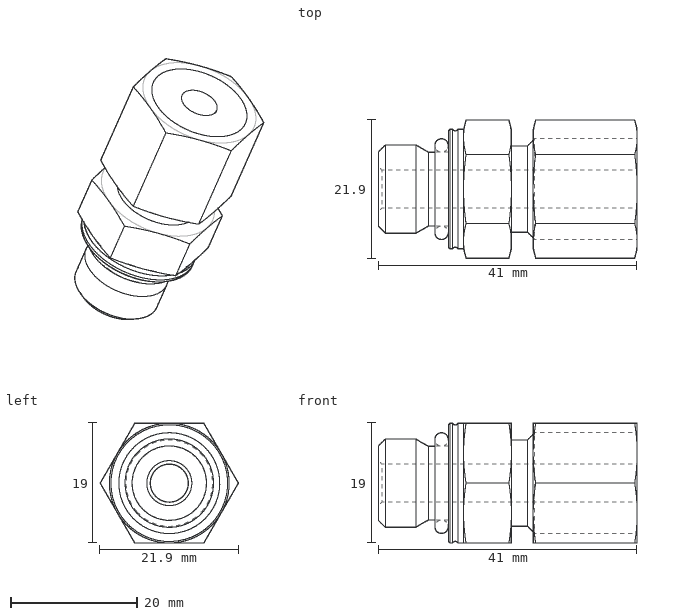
import cadquery as cq
import math


total_length = 41.0
hex_across_flats = 19.0
hex_chamfer_angle = 15.0

bore_radius = 3.0
bore_chamfer = 0.57

stud_radius = 7.0
stud_chamfer = 1.1
stud_end = 5.95
stud_neck_radius = 5.85
runout_angle = 30.0

flange_start = 11.05
flange_radius = hex_across_flats / 2
flange_chamfer = 0.25
groove_center = 12.18
groove_radius = 0.5
groove_depth = 0.25

o_ring_section_radius = 1.05

body_hex_start = 13.5
body_hex_end = 21.07

nut_neck_radius = 6.85
nut_neck_end = 23.6
nut_start = 24.5
shank_radius = 8.0


def revolve_about_x(profile):
    """Full revolution of an XY profile about the X axis."""
    return profile.close().revolve(360, (0, 0, 0), (1, 0, 0))


def chamfered_hexagon(start, end):
    """Hexagonal prism along X, flats facing +Z and -Z, corners turned off conically at both ends."""
    corner_radius = hex_across_flats / math.sqrt(3)
    flat_radius = hex_across_flats / 2
    chamfer_length = (corner_radius - flat_radius) * math.tan(math.radians(hex_chamfer_angle))
    prism = (
        cq.Workplane("YZ", origin=(start, 0, 0))
        .polygon(6, 2 * corner_radius)
        .extrude(end - start)
    )
    turning_envelope = revolve_about_x(
        cq.Workplane("XY")
        .moveTo(start, 0)
        .lineTo(start, flat_radius)
        .lineTo(start + chamfer_length, corner_radius)
        .lineTo(end - chamfer_length, corner_radius)
        .lineTo(end, flat_radius)
        .lineTo(end, 0)
    )
    return prism.intersect(turning_envelope)


def make_port_stud():
    """Threaded stud with a chamfered tip and a conical run-out to its neck."""
    runout_length = (stud_radius - stud_neck_radius) / math.tan(math.radians(runout_angle))
    return revolve_about_x(
        cq.Workplane("XY")
        .lineTo(0, stud_radius - stud_chamfer)
        .lineTo(stud_chamfer, stud_radius)
        .lineTo(stud_end, stud_radius)
        .lineTo(stud_end + runout_length, stud_neck_radius)
        .lineTo(flange_start, stud_neck_radius)
        .lineTo(flange_start, 0)
    )


def make_flange():
    """Round flange with a chamfered face and a shallow round-bottomed groove."""
    arc_center_radius = flange_radius - groove_depth + groove_radius
    groove_half_width = math.sqrt(groove_radius**2 - (arc_center_radius - flange_radius) ** 2)
    return revolve_about_x(
        cq.Workplane("XY")
        .moveTo(flange_start, 0)
        .lineTo(flange_start, flange_radius - flange_chamfer)
        .lineTo(flange_start + flange_chamfer, flange_radius)
        .lineTo(groove_center - groove_half_width, flange_radius)
        .threePointArc(
            (groove_center, flange_radius - groove_depth),
            (groove_center + groove_half_width, flange_radius),
        )
        .lineTo(body_hex_start, flange_radius)
        .lineTo(body_hex_start, 0)
    )


def make_nut_shank():
    """Neck behind the body hexagon, widening at 45 degrees to the shank just inside the nut."""
    shank_start = nut_neck_end + (shank_radius - nut_neck_radius)
    return revolve_about_x(
        cq.Workplane("XY")
        .moveTo(body_hex_end, 0)
        .lineTo(body_hex_end, nut_neck_radius)
        .lineTo(nut_neck_end, nut_neck_radius)
        .lineTo(shank_start, shank_radius)
        .lineTo(total_length, shank_radius)
        .lineTo(total_length, 0)
    )


def make_bore():
    """Cutter for the through bore and the chamfer at its -X mouth."""
    return revolve_about_x(
        cq.Workplane("XY")
        .lineTo(0, bore_radius + bore_chamfer)
        .lineTo(bore_chamfer, bore_radius)
        .lineTo(total_length, bore_radius)
        .lineTo(total_length, 0)
    )


def make_body():
    return (
        make_port_stud()
        .union(make_flange())
        .union(chamfered_hexagon(body_hex_start, body_hex_end))
        .union(make_nut_shank())
        .cut(make_bore())
    )


def make_o_ring():
    """Torus resting on the stud neck and against the flange face."""
    ring_radius = stud_neck_radius + o_ring_section_radius
    ring_center = flange_start - o_ring_section_radius
    return cq.Workplane(
        cq.Solid.makeTorus(ring_radius, o_ring_section_radius, cq.Vector(ring_center, 0, 0), cq.Vector(1, 0, 0))
    )


def make_nut():
    """Hexagon nut with a plain hole that fits the shank."""
    hole = cq.Workplane("YZ", origin=(nut_start, 0, 0)).circle(shank_radius).extrude(total_length - nut_start)
    return chamfered_hexagon(nut_start, total_length).cut(hole)


body = make_body()
o_ring = make_o_ring()
nut = make_nut()

result = cq.Compound.makeCompound([body.solids().val(), o_ring.val(), nut.solids().val()])